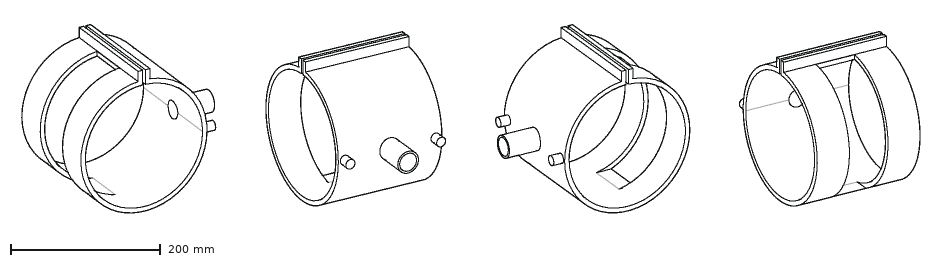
import cadquery as cq
import math

ring_length = 160.0
inner_radius = 90.0
wall = 7.0
outer_radius = inner_radius + wall

split_gap = 4.0
lug_thickness = wall
lug_height = 15.0
lug_outer_y = split_gap / 2 + lug_thickness
lug_top_z = math.sqrt(outer_radius**2 - lug_outer_y**2) + lug_height

window_width = 60.0
window_bottom_z = -88.5
window_edge_y = -9.5

socket_diameter = 32.0
socket_bore = 26.0
socket_end_y = 145.0

pin_diameter = 14.0
pin_end_y = 112.0
pin_offset_x = 70.0


def cylinder_along_y(diameter, x, end_y):
    """Cylinder running in +Y from the XZ plane to end_y."""
    plane = cq.Plane(origin=(x, 0, 0), xDir=(1, 0, 0), normal=(0, 1, 0))
    return cq.Workplane(plane).circle(diameter / 2).extrude(end_y)


def box_between(width, y_min, y_max, z_min, z_max):
    """Box centred on X = 0 between the given Y and Z limits."""
    box = cq.Workplane("XY").box(width, y_max - y_min, z_max - z_min, centered=(True, False, False))
    return box.translate((0, y_min, z_min))


def cylinder_along_x(radius):
    """Cylinder on the ring axis, spanning the ring length."""
    start_plane = cq.Workplane("YZ", origin=(-ring_length / 2, 0, 0))
    return start_plane.circle(radius).extrude(ring_length)


def make_outer_body():
    """Ring blank with the lug block, socket and pins, before anything is cut."""
    body = cylinder_along_x(outer_radius)
    body = body.union(box_between(ring_length, -lug_outer_y, lug_outer_y, 0, lug_top_z))
    body = body.union(cylinder_along_y(socket_diameter, 0, socket_end_y))
    for side in (-1, 1):
        body = body.union(cylinder_along_y(pin_diameter, side * pin_offset_x, pin_end_y))
    return body


def make_cuts(body):
    """Open the ring bore, the split, the window and the socket bore."""
    body = body.cut(cylinder_along_x(inner_radius))
    body = body.cut(box_between(ring_length, -split_gap / 2, split_gap / 2, 0, lug_top_z))
    body = body.cut(box_between(window_width, -outer_radius, window_edge_y, window_bottom_z, outer_radius))
    body = body.cut(cylinder_along_y(socket_bore, 0, socket_end_y))
    return body


result = make_cuts(make_outer_body())